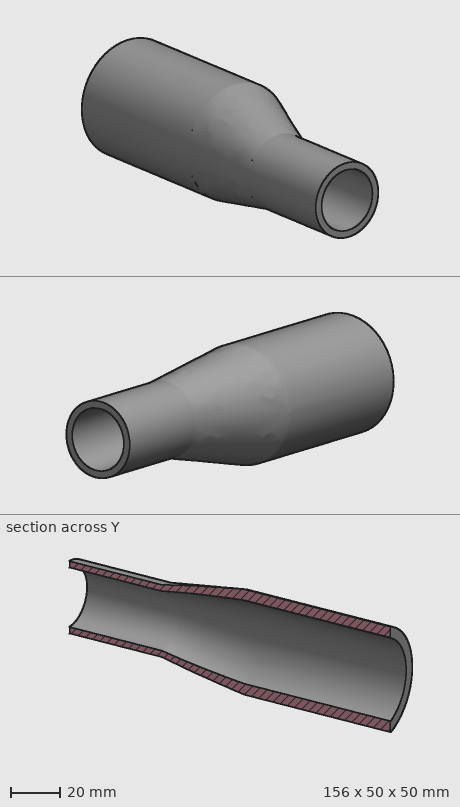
import cadquery as cq

large_outer_diameter = 50.0
large_inner_diameter = 40.8
small_outer_diameter = 32.0
small_inner_diameter = 26.0

total_length = 156.0
large_pipe_length = 71.0
transition_length = 40.0

blend_radius = 3.0
blend_limit_y = -23.0
joint_tolerance = 0.01

small_pipe_start = large_pipe_length + transition_length
small_pipe_length = total_length - small_pipe_start
small_pipe_offset_y = (small_outer_diameter - large_outer_diameter) / 2


def circle_at(x, y, diameter):
    """Workplane at x, holding a circle centred at y that faces along X."""
    return cq.Workplane("YZ", origin=(x, y, 0)).circle(diameter / 2)


def oblique_cone(large_diameter, small_diameter):
    """Transition between the two pipe axes, running from one pipe end to the other."""
    return (
        circle_at(large_pipe_length, 0, large_diameter)
        .workplane(offset=transition_length)
        .center(small_pipe_offset_y, 0)
        .circle(small_diameter / 2)
        .loft(ruled=True)
    )


def reducer_body(large_diameter, small_diameter):
    """Solid with the large pipe, the transition and the small pipe in line."""
    large_pipe = circle_at(0, 0, large_diameter).extrude(large_pipe_length)
    small_pipe = circle_at(small_pipe_start, small_pipe_offset_y, small_diameter).extrude(small_pipe_length)
    return large_pipe.union(oblique_cone(large_diameter, small_diameter)).union(small_pipe)


def blend_joints(body):
    """Round the two joints of the outer surface everywhere but on the nearly tangent flush side."""
    blended_side_box = cq.Workplane().box(
        total_length,
        large_outer_diameter,
        large_outer_diameter,
        centered=(False, False, True),
    ).translate((0, blend_limit_y, 0))
    blended_side = body.intersect(blended_side_box)
    flush_side = body.cut(blended_side_box)

    for joint_x in (large_pipe_length, small_pipe_start):
        joint_edges = cq.selectors.BoxSelector(
            (joint_x - joint_tolerance, -large_outer_diameter, -large_outer_diameter),
            (joint_x + joint_tolerance, large_outer_diameter, large_outer_diameter),
            boundingbox=True,
        )
        blended_side = blended_side.edges(joint_edges).fillet(blend_radius)
    return blended_side.union(flush_side)


outer_body = blend_joints(reducer_body(large_outer_diameter, small_outer_diameter))
bore = reducer_body(large_inner_diameter, small_inner_diameter)

result = outer_body.cut(bore)